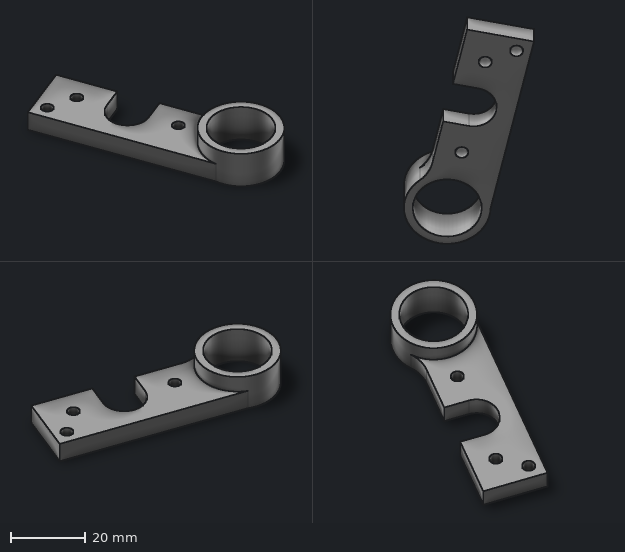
import cadquery as cq
import math

total_length = 69.47
plate_thickness = 6.0
ring_height = 11.0

ring_outer_diameter = 23.34
ring_outer_radius = ring_outer_diameter / 2
ring_bore_diameter = 18.5

plate_width = 18.45
plate_back = 7.0
plate_front = plate_back - plate_width
plate_left = ring_outer_radius - total_length
blend_radius = 10.0

slot_width = 12.4
slot_from_left = 24.3
slot_x = plate_left + slot_from_left

hole_diameter = 3.5
hole_offset_from_slot = 15.0
corner_hole_from_left = 3.97
corner_hole_y = -7.45
hole_points = [
    (slot_x - hole_offset_from_slot, 0),
    (slot_x + hole_offset_from_slot, 0),
    (plate_left + corner_hole_from_left, corner_hole_y),
]


def make_plate():
    """Flat plate whose back edge sweeps into the ring through a tangent concave arc."""
    blend_center_y = plate_back + blend_radius
    center_distance = ring_outer_radius + blend_radius
    blend_center_x = -math.sqrt(center_distance**2 - blend_center_y**2)

    ring_share = ring_outer_radius / center_distance
    ring_touch = (blend_center_x * ring_share, blend_center_y * ring_share)

    touch_angle = math.atan2(-blend_center_y, -blend_center_x)
    middle_angle = (touch_angle - math.pi / 2) / 2
    blend_middle = (
        blend_center_x + blend_radius * math.cos(middle_angle),
        blend_center_y + blend_radius * math.sin(middle_angle),
    )

    front_end_x = -math.sqrt(ring_outer_radius**2 - plate_front**2)

    return (
        cq.Workplane("XY")
        .moveTo(plate_left, plate_front)
        .lineTo(plate_left, plate_back)
        .lineTo(blend_center_x, plate_back)
        .threePointArc(blend_middle, ring_touch)
        .lineTo(0, 0)
        .lineTo(front_end_x, plate_front)
        .close()
        .extrude(plate_thickness)
    )


def make_ring_body():
    return cq.Workplane("XY").circle(ring_outer_radius).extrude(ring_height)


def make_bore():
    return cq.Workplane("XY").circle(ring_bore_diameter / 2).extrude(ring_height)


def make_slot():
    """Round-bottomed slot with its arc centred on the ring's centre line."""
    slot_radius = slot_width / 2
    return (
        cq.Workplane("XY")
        .moveTo(slot_x - slot_radius, plate_back)
        .lineTo(slot_x - slot_radius, 0)
        .threePointArc((slot_x, -slot_radius), (slot_x + slot_radius, 0))
        .lineTo(slot_x + slot_radius, plate_back)
        .close()
        .extrude(plate_thickness)
    )


def make_screw_holes():
    return (
        cq.Workplane("XY")
        .pushPoints(hole_points)
        .circle(hole_diameter / 2)
        .extrude(plate_thickness)
    )


body = make_plate().union(make_ring_body())
result = body.cut(make_bore()).cut(make_slot()).cut(make_screw_holes())